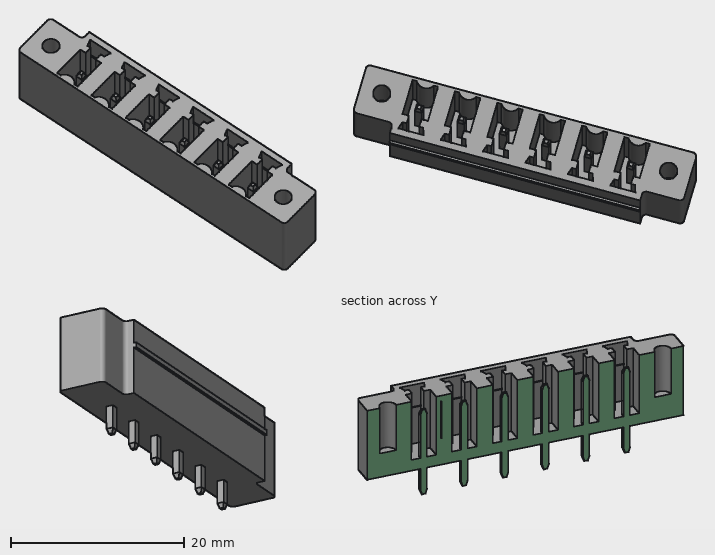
import cadquery as cq


body_height = 9.2
flange_length = 39.6
flange_depth = 6.0
body_length = 30.0
body_depth = 7.25
corner_radius = 0.5
front_y = -2.92
flange_back_y = front_y + flange_depth
body_back_y = front_y + body_depth

rail_protrusion = 0.3
rail_height = 0.6
rail_bottom_z = 5.7

contact_count = 6
pitch = 5.08
pin_width = 0.85
pin_tip_width = 0.45
pin_taper_length = 0.6
pin_bottom_z = -3.4
pin_top_z = 7.8
contact_positions = [(i - (contact_count - 1) / 2) * pitch for i in range(contact_count)]

chamber_floor_z = 1.5
chamber_width = 3.05
chamber_front_y = front_y + 0.37
chamber_back_y = front_y + 4.65
neck_width = 1.5
neck_back_y = front_y + 5.6
dovetail_front_width = 2.5
dovetail_back_width = chamber_width
dovetail_back_y = front_y + 6.45
ledge_depth = 0.15
ledge_z = rail_bottom_z + rail_height

bump_chord = 2.05
bump_rise = 0.6

hole_diameter = 2.0
hole_depth = 6.0
hole_spacing = 34.4


def make_housing():
    """T-shaped prism with rounded outer corners and rounded inner steps."""
    half_flange = flange_length / 2
    half_body = body_length / 2
    outline = [
        (-half_flange, front_y),
        (half_flange, front_y),
        (half_flange, flange_back_y),
        (half_body, flange_back_y),
        (half_body, body_back_y),
        (-half_body, body_back_y),
        (-half_body, flange_back_y),
        (-half_flange, flange_back_y),
    ]
    housing = cq.Workplane("XY").polyline(outline).close().extrude(body_height)
    rounded_corners = [corner for corner in outline if corner[1] != body_back_y]
    for x, y in rounded_corners:
        edge = cq.selectors.NearestToPointSelector((x, y, body_height / 2))
        housing = housing.edges("|Z").edges(edge).fillet(corner_radius)
    return housing


def make_rail():
    """Thin rail across the full width of the back face."""
    return cq.Workplane("XY").box(
        body_length, rail_protrusion, rail_height, centered=(True, False, False)
    ).translate((0, body_back_y, rail_bottom_z))


def make_chamber(x):
    """Keyhole-shaped pocket: wide chamber, narrow neck, dovetail; bump at the front."""
    half_chamber = chamber_width / 2
    half_neck = neck_width / 2
    half_dovetail_front = dovetail_front_width / 2
    half_dovetail_back = dovetail_back_width / 2
    half_bump = bump_chord / 2
    return (
        cq.Workplane("XY", origin=(x, 0, chamber_floor_z))
        .moveTo(-half_bump, chamber_front_y)
        .threePointArc((0, chamber_front_y + bump_rise), (half_bump, chamber_front_y))
        .lineTo(half_chamber, chamber_front_y)
        .lineTo(half_chamber, chamber_back_y)
        .lineTo(half_neck, chamber_back_y)
        .lineTo(half_neck, neck_back_y)
        .lineTo(half_dovetail_front, neck_back_y)
        .lineTo(half_dovetail_back, dovetail_back_y)
        .lineTo(-half_dovetail_back, dovetail_back_y)
        .lineTo(-half_dovetail_front, neck_back_y)
        .lineTo(-half_neck, neck_back_y)
        .lineTo(-half_neck, chamber_back_y)
        .lineTo(-half_chamber, chamber_back_y)
        .lineTo(-half_chamber, chamber_front_y)
        .close()
        .extrude(body_height - chamber_floor_z)
    )


def make_chamber_ledge(x):
    """Thickening of the wall behind the dovetail, from the chamber floor up to a small ledge."""
    return cq.Workplane("XY").box(
        dovetail_back_width, ledge_depth, ledge_z - chamber_floor_z, centered=(True, False, False)
    ).translate((x, dovetail_back_y - ledge_depth, chamber_floor_z))


def make_pin_tip(x, shoulder_z, direction):
    """Square taper from the full pin width; direction is +1 upward, -1 downward."""
    return (
        cq.Workplane("XY", origin=(x, 0, shoulder_z))
        .rect(pin_width, pin_width)
        .workplane(offset=direction * pin_taper_length)
        .rect(pin_tip_width, pin_tip_width)
        .loft()
    )


def make_pin(x):
    """Square pin through the housing, tapered at both ends."""
    lower_shoulder_z = pin_bottom_z + pin_taper_length
    upper_shoulder_z = pin_top_z - pin_taper_length
    shank = (
        cq.Workplane("XY", origin=(x, 0, lower_shoulder_z))
        .rect(pin_width, pin_width)
        .extrude(upper_shoulder_z - lower_shoulder_z)
    )
    lower_tip = make_pin_tip(x, lower_shoulder_z, -1)
    upper_tip = make_pin_tip(x, upper_shoulder_z, 1)
    return shank.union(lower_tip).union(upper_tip)


def make_mounting_holes():
    """Blind holes from the top face, one in each flange."""
    return (
        cq.Workplane("XY", origin=(0, 0, body_height - hole_depth))
        .pushPoints([(-hole_spacing / 2, 0), (hole_spacing / 2, 0)])
        .circle(hole_diameter / 2)
        .extrude(hole_depth)
    )


result = make_housing().union(make_rail()).cut(make_mounting_holes())
for contact_x in contact_positions:
    chamber = make_chamber(contact_x).cut(make_chamber_ledge(contact_x))
    result = result.cut(chamber).union(make_pin(contact_x))